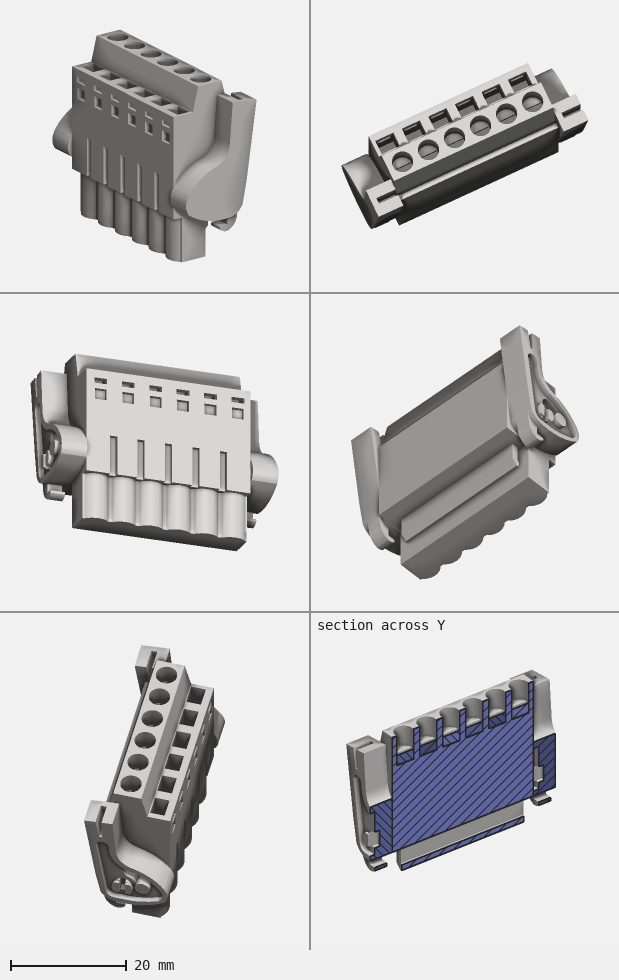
import cadquery as cq
import math


overall_width = 40.2
poles = 6

housing_width = 30.5
housing_depth = 12.2
housing_front = -housing_depth / 2
housing_back = housing_depth / 2
ledge_height = 18.92
back_ledge_height = 16.88
housing_height = 23.5
front_ledge = 4.05
back_ledge = 0.92
slope_run = 1.13
pole_pitch = housing_width / poles
pole_centres = [(i - (poles - 1) / 2) * pole_pitch for i in range(poles)]

plug_length = 8.28
plug_back = 0.7
plug_flat_front = -4.38
plug_bulge = 0.95
plug_bulge_width = 4.4

latch_inset = 2.0
latch_width = housing_width - 2 * latch_inset

groove_width = 1.33
groove_height = 7.05
groove_depth = 0.8

entry_offset = 0.15
entry_width = 3.45
entry_depth = 2.6
entry_wall = 1.25
entry_height = 6.03
upper_window_width = 2.37
upper_window_height = 0.95
upper_window_bottom = 16.47
lower_window_width = 2.15
lower_window_height = 1.95
lower_window_bottom = 13.5
lower_window_depth = 0.8

screw_pitch = 5.0
screw_diameter = 3.7
screw_y = 1.6
screw_head_drop = 4.0
screw_length = 2.0
screw_slot_width = 0.52
screw_slot_depth = 0.6
screw_top = housing_height - screw_head_drop
screw_centres = [(i - (poles - 1) / 2) * screw_pitch for i in range(poles)]

lever_width = 4.75
lever_pocket_depth = 1.0
lever_slot_depth_x = 3.7
foot_inset = 1.0
foot_width = 2.7
pivot_y = 1.3
pivot_z = 3.98
pivot_head_radius = 1.85
pivot_head_half_height = 1.25
pivot_head_thickness = 0.45
pivot_shaft_radius = 1.55
pivot_slot_width = 1.05
pivot_slot_depth = 2.13
guide_radius = 3.75
guide_half_width = 1.33
guide_depth = 1.6
guide_start_angle = 165.5
guide_end_angle = 112.0
lever_xs = [-overall_width / 2, overall_width / 2 - lever_width]


def box(x_range, y_range, z_range):
    """A block between the given limits along each axis."""
    size = [high - low for low, high in (x_range, y_range, z_range)]
    corner = cq.Vector(x_range[0], y_range[0], z_range[0])
    return cq.Workplane(cq.Solid.makeBox(*size, pnt=corner))


def centred(middle, size):
    """The limits of a length centred on a place."""
    return (middle - size / 2, middle + size / 2)


def side_plane(x):
    """A sketch plane square to X, whose own axes are Y and Z."""
    return cq.Workplane("YZ", origin=(x, 0, 0))


def housing_block():
    slope_front = housing_front + front_ledge
    slope_back = housing_back - back_ledge
    profile = [
        (housing_front, 0),
        (housing_back, 0),
        (housing_back, back_ledge_height),
        (slope_back, back_ledge_height),
        (slope_back, ledge_height),
        (slope_back - slope_run, housing_height),
        (slope_front + slope_run, housing_height),
        (slope_front, ledge_height),
        (housing_front, ledge_height),
    ]
    return side_plane(-housing_width / 2).polyline(profile).close().extrude(housing_width)


def plug_sockets():
    """A bar across the width with one bulging front per pole."""
    sockets = box(
        (-housing_width / 2, housing_width / 2), (plug_flat_front, plug_back), (-plug_length, 0)
    )
    for x in pole_centres:
        left, right = centred(x, plug_bulge_width)
        bulge = (
            cq.Workplane("XY")
            .moveTo(left, plug_flat_front)
            .threePointArc((x, plug_flat_front - plug_bulge), (right, plug_flat_front))
            .close()
            .extrude(-plug_length)
        )
        sockets = sockets.union(bulge)
    return sockets


def housing_latch():
    """The hooked strip that hangs behind the plug sockets."""
    return (
        side_plane(-latch_width / 2)
        .moveTo(2.6, 0)
        .lineTo(1.4, 0)
        .lineTo(1.4, -3.05)
        .lineTo(1.0, -3.55)
        .lineTo(1.0, -3.95)
        .threePointArc((1.15, -4.4), (1.53, -4.6))
        .lineTo(2.6, -3.5)
        .close()
        .extrude(latch_width)
    )


def keying_grooves():
    grooves = cq.Workplane()
    for i in range(1, poles):
        x = -housing_width / 2 + i * pole_pitch
        grooves.add(
            box(
                centred(x, groove_width),
                (housing_front, housing_front + groove_depth),
                (0, groove_height),
            )
        )
    return grooves


def pole_openings(pole_x):
    """The wire entry, the test window into it and the blind window of one pole."""
    x = pole_x + entry_offset
    entry_front = housing_front + entry_wall
    entry = box(
        centred(x, entry_width),
        (entry_front, entry_front + entry_depth),
        (ledge_height - entry_height, ledge_height),
    )
    upper_window = box(
        centred(x, upper_window_width),
        (housing_front, entry_front),
        (upper_window_bottom, upper_window_bottom + upper_window_height),
    )
    lower_window = box(
        centred(x, lower_window_width),
        (housing_front, housing_front + lower_window_depth),
        (lower_window_bottom, lower_window_bottom + lower_window_height),
    )
    return entry.add(upper_window).add(lower_window)


def make_housing():
    housing = housing_block().union(plug_sockets()).union(housing_latch())
    cutters = keying_grooves()
    for x in pole_centres:
        cutters.add(pole_openings(x))
    screw_hole_depth = screw_head_drop + screw_length
    for x in screw_centres:
        hole = cq.Workplane("XY", origin=(x, screw_y, housing_height))
        cutters.add(hole.circle(screw_diameter / 2).extrude(-screw_hole_depth))
    for cutter in cutters.vals():
        housing = housing.cut(cq.Workplane(cutter))
    return housing


def make_screw(x):
    screw = cq.Workplane("XY", origin=(x, screw_y, screw_top)).circle(screw_diameter / 2)
    slot = box(
        centred(x, screw_diameter),
        centred(screw_y, screw_slot_width),
        (screw_top - screw_slot_depth, screw_top),
    )
    return screw.extrude(-screw_length).cut(slot)


def lever_body(x):
    return (
        side_plane(x)
        .moveTo(8.05, 20.6)
        .lineTo(2.97, 21.17)
        .lineTo(2.37, 13.6)
        .tangentArcPoint((-0.55, 10.0), relative=False)
        .tangentArcPoint((-6.25, 5.9), relative=False)
        .lineTo(-6.55, 5.4)
        .threePointArc((-6.87, 4.1), (-6.35, 2.37))
        .threePointArc((-3.05, 0.65), (0.6, 0))
        .lineTo(2.3, 0.1)
        .threePointArc((3.95, 0.65), (5.1, 2.05))
        .lineTo(6.0, 6.6)
        .close()
        .extrude(lever_width)
    )


def lever_pocket(x):
    """The recess in the -X side that leaves a rim along the lever's outline."""
    return (
        side_plane(x)
        .moveTo(5.95, 14.63)
        .threePointArc((4.8, 15.7), (3.6, 14.63))
        .lineTo(3.55, 13.2)
        .threePointArc((2.55, 10.9), (0.35, 9.2))
        .threePointArc((-3.05, 7.75), (-5.7, 5.0))
        .threePointArc((-6.0, 3.65), (-5.15, 2.37))
        .threePointArc((-3.05, 1.6), (-0.7, 1.1))
        .lineTo(2.6, 1.1)
        .threePointArc((3.6, 1.5), (4.15, 2.45))
        .close()
        .extrude(lever_pocket_depth)
    )


def lever_top_slot(x):
    profile = [(6.05, 21.3), (4.95, 21.3), (4.8, 17.0), (5.3, 17.0)]
    return side_plane(x).polyline(profile).close().extrude(lever_slot_depth_x)


def lever_foot(x):
    """The hooked foot that hangs from the lower back corner of the lever."""
    return (
        side_plane(x + foot_inset)
        .moveTo(5.1, 2.05)
        .lineTo(4.65, 0)
        .threePointArc((4.0, -1.8), (2.6, -2.77))
        .threePointArc((1.73, -2.65), (1.0, -2.13))
        .lineTo(1.0, -1.8)
        .lineTo(1.13, -1.6)
        .lineTo(2.6, -1.6)
        .lineTo(2.6, 0.8)
        .lineTo(4.4, 2.05)
        .close()
        .extrude(foot_width)
    )


def guide_point(radius, angle):
    """A place at a distance and direction from the pivot, with Y and Z as the axes."""
    turn = math.radians(angle)
    return (pivot_y + radius * math.cos(turn), pivot_z + radius * math.sin(turn))


def guide_slot(x):
    """A round-ended slot curved about the pivot."""
    inner = guide_radius - guide_half_width
    outer = guide_radius + guide_half_width
    middle_angle = (guide_start_angle + guide_end_angle) / 2
    end_reach = math.degrees(2 * math.asin(guide_half_width / (2 * guide_radius)))
    return (
        side_plane(x)
        .moveTo(*guide_point(inner, guide_start_angle))
        .threePointArc(guide_point(inner, middle_angle), guide_point(inner, guide_end_angle))
        .threePointArc(
            guide_point(guide_radius, guide_end_angle - end_reach),
            guide_point(outer, guide_end_angle),
        )
        .threePointArc(guide_point(outer, middle_angle), guide_point(outer, guide_start_angle))
        .threePointArc(
            guide_point(guide_radius, guide_start_angle + end_reach),
            guide_point(inner, guide_start_angle),
        )
        .close()
        .extrude(guide_depth)
    )


def guide_post(x):
    """The round post that fills the lower end of the guide slot, flush with the rim."""
    centre = guide_point(guide_radius, guide_start_angle)
    post = side_plane(x).center(*centre).circle(guide_half_width)
    return post.extrude(lever_pocket_depth + guide_depth)


def pivot_pin(x):
    """A round shaft under a flat-sided head."""
    head_limits = box(
        (x, x + pivot_head_thickness),
        centred(pivot_y, 2 * pivot_head_radius),
        centred(pivot_z, 2 * pivot_head_half_height),
    )
    head = side_plane(x).center(pivot_y, pivot_z).circle(pivot_head_radius)
    shaft = side_plane(x + pivot_head_thickness).center(pivot_y, pivot_z).circle(pivot_shaft_radius)
    shaft_length = lever_pocket_depth - pivot_head_thickness
    return head.extrude(pivot_head_thickness).intersect(head_limits).union(shaft.extrude(shaft_length))


def pivot_slot(x):
    """The upright slot that splits the pin and ends at the outline of its shaft."""
    shaft = side_plane(x).center(pivot_y, pivot_z).circle(pivot_shaft_radius)
    slot = box(
        (x, x + pivot_slot_depth),
        centred(pivot_y, pivot_slot_width),
        centred(pivot_z, 2 * pivot_shaft_radius),
    )
    return slot.intersect(shaft.extrude(pivot_slot_depth))


def make_lever(x):
    lever = lever_body(x).union(lever_foot(x))
    lever = lever.cut(lever_pocket(x)).cut(lever_top_slot(x)).cut(guide_slot(x + lever_pocket_depth))
    return lever.union(guide_post(x)).union(pivot_pin(x)).cut(pivot_slot(x))


housing = make_housing()
screws = [make_screw(x) for x in screw_centres]
levers = [make_lever(x) for x in lever_xs]

result = cq.Compound.makeCompound(
    [housing.val(), *[screw.val() for screw in screws], *[lever.val() for lever in levers]]
)